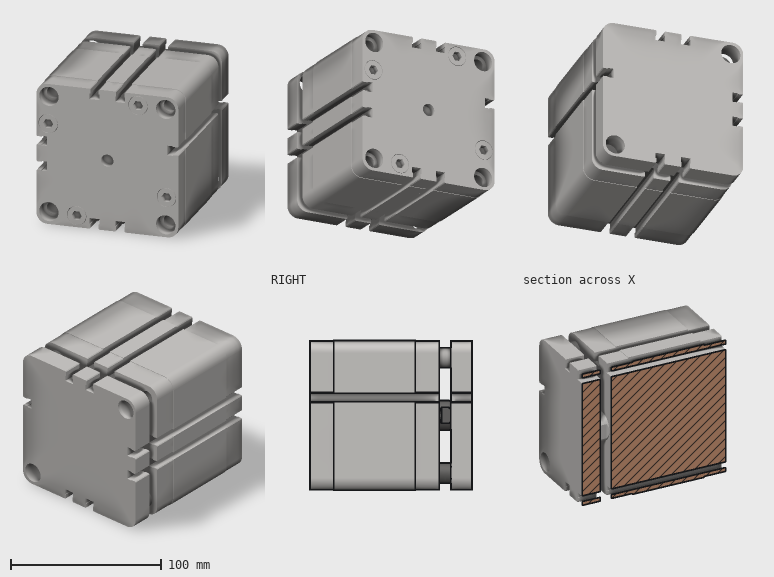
import cadquery as cq
import math


LENGTH = 108.0
CAP_LENGTH = 16.0
PLATE_LENGTH = 14.0
ROD_GAP = 7.8
BODY_LENGTH = LENGTH - PLATE_LENGTH - ROD_GAP
TUBE_LENGTH = BODY_LENGTH - 2 * CAP_LENGTH
FRONT_Y = -LENGTH / 2
BODY_BACK_Y = FRONT_Y + BODY_LENGTH
PLATE_Y = BODY_BACK_Y + ROD_GAP

TUBE_SIZE = 100.0
TUBE_CORNER_RADIUS = 8.0
CAP_INSET = 0.3
CAP_SIZE = TUBE_SIZE - 2 * CAP_INSET
CAP_CORNER_RADIUS = TUBE_CORNER_RADIUS - CAP_INSET

SLOT_MOUTH = 5.8
SLOT_INNER = 6.8
SLOT_DEPTH = 7.8
SLOT_LIP = 3.9
SLOT_BEVEL = 0.5
SLOT_OFFSET = 9.0
SINGLE_SLOT_OFFSET = 12.0
SLOTS = [(turn, side * SLOT_OFFSET) for turn in (0, 180, 270) for side in (-1, 1)]
SLOTS.append((90, -SINGLE_SLOT_OFFSET))

MOUNT_OFFSET = 40.9
MOUNT_HOLE_DIAMETER = 8.4
COUNTERBORE_DIAMETER = 13.5
COUNTERBORE_DEPTH = 8.5
PLATE_HOLE_DIAMETER = COUNTERBORE_DIAMETER

SCREW_NEAR = 21.5
SCREW_FAR = 41.5
SCREW_CENTERS = [
    (SCREW_NEAR, SCREW_FAR),
    (-SCREW_FAR, SCREW_NEAR),
    (-SCREW_NEAR, -SCREW_FAR),
    (SCREW_FAR, -SCREW_NEAR),
]
SCREW_RECESS_DIAMETER = 13.5
SCREW_HEAD_DIAMETER = 13.0
SCREW_HEAD_HEIGHT = 6.5
HEX_ACROSS_FLATS = 6.0
HEX_DEPTH = 4.3

CENTER_HOLE_DIAMETER = 8.5
CENTER_HOLE_DEPTH = 5.0

ROD_DIAMETER = 20.0
ROD_ACROSS_FLATS = 17.0
ROD_FLAT_LENGTH = 6.3
ROD_END_RADIUS = 2.5
ROD_SEAT = 0.8
PIN_DIAMETER = 13.5
PIN_OFFSET = 38.5


def section_plane(y):
    """Plane facing +Y whose local axes are (-X, Z)."""
    return cq.Workplane(cq.Plane(origin=(0, y, 0), xDir=(-1, 0, 0), normal=(0, 1, 0)))


def cylinder(x, z, y, diameter, length):
    return section_plane(y).center(-x, z).circle(diameter / 2).extrude(length)


def rounded_square(y, size, corner_radius, length):
    return section_plane(y).rect(size, size).extrude(length).edges("|Y").fillet(corner_radius)


def slot_cutter(y, length, face, bevel, turn, offset):
    """T-slot in the top face at height `face`, then turned about Y to its own side."""
    half_mouth = SLOT_MOUTH / 2
    half_inner = SLOT_INNER / 2
    floor = TUBE_SIZE / 2 - SLOT_DEPTH
    lip = TUBE_SIZE / 2 - SLOT_LIP
    half = [(half_inner, floor), (half_inner, lip), (half_mouth, lip)]
    if bevel:
        half += [(half_mouth, face - bevel), (half_mouth + bevel, face)]
        half.append((half_mouth + bevel, face + bevel))
    else:
        half.append((half_mouth, face))
    outline = half + [(-u, z) for u, z in reversed(half)]
    cutter = section_plane(y).center(-offset, 0).polyline(outline).close().extrude(length)
    return cutter.rotate((0, 0, 0), (0, 1, 0), turn)


def slotted_block(y, size, corner_radius, length, bevel):
    block = rounded_square(y, size, corner_radius, length)
    for turn, offset in SLOTS:
        block = block.cut(slot_cutter(y, length, size / 2, bevel, turn, offset))
    return block


def end_block(y, length):
    return slotted_block(y, CAP_SIZE, CAP_CORNER_RADIUS, length, SLOT_BEVEL)


def make_body():
    tube_y = FRONT_Y + CAP_LENGTH
    body = slotted_block(tube_y, TUBE_SIZE, TUBE_CORNER_RADIUS, TUBE_LENGTH, 0)
    body = body.union(end_block(FRONT_Y, CAP_LENGTH))
    body = body.union(end_block(tube_y + TUBE_LENGTH, CAP_LENGTH))
    for x in (-MOUNT_OFFSET, MOUNT_OFFSET):
        for z in (-MOUNT_OFFSET, MOUNT_OFFSET):
            hole_depth = BODY_LENGTH - CAP_LENGTH if x == z else BODY_LENGTH
            body = body.cut(cylinder(x, z, FRONT_Y, MOUNT_HOLE_DIAMETER, hole_depth))
            body = body.cut(cylinder(x, z, FRONT_Y, COUNTERBORE_DIAMETER, COUNTERBORE_DEPTH))
    for x, z in SCREW_CENTERS:
        body = cut_screw(body, x, z)
    return body.cut(cylinder(0, 0, FRONT_Y, CENTER_HOLE_DIAMETER, CENTER_HOLE_DEPTH))


def cut_screw(body, x, z):
    """Narrow ring around a flush screw head, and the hex socket in the head."""
    recess = cylinder(x, z, FRONT_Y, SCREW_RECESS_DIAMETER, SCREW_HEAD_HEIGHT)
    head = cylinder(x, z, FRONT_Y, SCREW_HEAD_DIAMETER, SCREW_HEAD_HEIGHT)
    across_corners = HEX_ACROSS_FLATS / math.cos(math.pi / 6)
    socket = section_plane(FRONT_Y).center(-x, z).polygon(6, across_corners).extrude(HEX_DEPTH)
    return body.cut(recess.cut(head)).cut(socket)


def make_plate():
    """Yoke plate with clearance holes on the corners that carry no guide pin."""
    plate = end_block(PLATE_Y, PLATE_LENGTH)
    for side in (-1, 1):
        x = side * MOUNT_OFFSET
        plate = plate.cut(cylinder(x, -x, PLATE_Y, PLATE_HOLE_DIAMETER, PLATE_LENGTH))
    return plate


def make_rod():
    """Rod with a rounded end seated in the plate and two wrench flats with 45 degree run-outs."""
    rod = cylinder(0, 0, BODY_BACK_Y, ROD_DIAMETER, ROD_GAP + ROD_SEAT)
    rod = rod.faces(">Y").edges().fillet(ROD_END_RADIUS)
    flat_x = ROD_ACROSS_FLATS / 2
    rod_end_y = PLATE_Y + ROD_SEAT
    flat_y = PLATE_Y - ROD_FLAT_LENGTH
    for side in (-1, 1):
        outline = [
            (side * flat_x, rod_end_y),
            (side * flat_x, flat_y),
            (side * (flat_x + ROD_DIAMETER), flat_y - ROD_DIAMETER),
            (side * (flat_x + ROD_DIAMETER), rod_end_y),
        ]
        flat = cq.Workplane("XY").polyline(outline).close().extrude(ROD_DIAMETER / 2, both=True)
        rod = rod.cut(flat)
    return rod


result = make_body().union(make_plate()).union(make_rod())
for pin_side in (-1, 1):
    pin_center = pin_side * PIN_OFFSET
    result = result.union(cylinder(pin_center, pin_center, BODY_BACK_Y, PIN_DIAMETER, ROD_GAP))